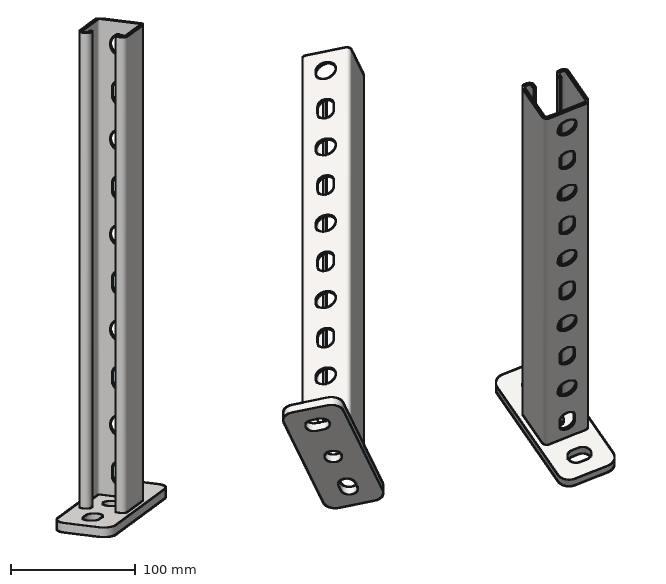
import cadquery as cq

TOTAL_HEIGHT = 408.0

PLATE_WIDTH = 50.0
PLATE_LENGTH = 125.0
PLATE_THICKNESS = 8.0
PLATE_CORNER_RADIUS = 10.0
PLATE_HOLE_DIAMETER = 14.0
PLATE_SLOT_LENGTH = 20.0
CROSS_SLOT_Y = 41.5
LONG_SLOT_Y = -39.0

CHANNEL_SIZE = 41.2
WALL = 2.0
BEND_RADIUS = 4.0
MOUTH_WIDTH = 21.2
LIP_DEPTH = 7.5
CHANNEL_HEIGHT = TOTAL_HEIGHT - PLATE_THICKNESS

PERFORATION_COUNT = 10
PERFORATION_PITCH = CHANNEL_HEIGHT / PERFORATION_COUNT
WEB_HOLE_DIAMETER = 17.0
WEB_SLOT_WIDTH = 14.0
WEB_SLOT_LENGTH = 20.0


def make_base_plate():
    """Rounded plate with a central hole, a crosswise slot and a lengthwise slot."""
    plate = (
        cq.Workplane("XY")
        .rect(PLATE_WIDTH, PLATE_LENGTH)
        .extrude(PLATE_THICKNESS)
        .edges("|Z")
        .fillet(PLATE_CORNER_RADIUS)
    )
    hole = cq.Workplane("XY").circle(PLATE_HOLE_DIAMETER / 2).extrude(PLATE_THICKNESS)
    cross_slot = (
        cq.Workplane("XY")
        .center(0, CROSS_SLOT_Y)
        .slot2D(PLATE_SLOT_LENGTH, PLATE_HOLE_DIAMETER)
        .extrude(PLATE_THICKNESS)
    )
    long_slot = (
        cq.Workplane("XY")
        .center(0, LONG_SLOT_Y)
        .slot2D(PLATE_SLOT_LENGTH, PLATE_HOLE_DIAMETER, 90)
        .extrude(PLATE_THICKNESS)
    )
    return plate.cut(hole).cut(cross_slot).cut(long_slot)


def upright_block(width, depth, center_x, center_y):
    """Full-height rectangular block standing on the plate."""
    return (
        cq.Workplane("XY", origin=(center_x, center_y, PLATE_THICKNESS))
        .rect(width, depth)
        .extrude(CHANNEL_HEIGHT)
    )


def bent_tube(width, center_x):
    """Square-cornered tube with constant wall and bends rounded inside and out."""
    inner_width = width - 2 * WALL
    inner_depth = CHANNEL_SIZE - 2 * WALL
    outer = upright_block(width, CHANNEL_SIZE, center_x, 0).edges("|Z").fillet(BEND_RADIUS)
    inner = upright_block(inner_width, inner_depth, center_x, 0).edges("|Z").fillet(BEND_RADIUS - WALL)
    return outer.cut(inner)


def make_lip(side):
    """Front flange with its inward return, on the side given by the sign of X."""
    flange_width = (CHANNEL_SIZE - MOUTH_WIDTH) / 2
    flange_x = side * (MOUTH_WIDTH + flange_width) / 2
    lip_y = (LIP_DEPTH - CHANNEL_SIZE) / 2
    return bent_tube(flange_width, flange_x).intersect(
        upright_block(flange_width, LIP_DEPTH, flange_x, lip_y)
    )


def make_perforations():
    """Cutters through the back web, starting with a slot at the bottom."""
    cutters = []
    for index in range(PERFORATION_COUNT):
        z = PLATE_THICKNESS + (index + 0.5) * PERFORATION_PITCH
        sketch = cq.Workplane("XZ", origin=(0, CHANNEL_SIZE / 2, z))
        if index % 2 == 0:
            outline = sketch.slot2D(WEB_SLOT_LENGTH, WEB_SLOT_WIDTH, 90)
        else:
            outline = sketch.circle(WEB_HOLE_DIAMETER / 2)
        cutters.append(outline.extrude(WALL))
    return cutters


def make_channel():
    """Lipped channel with a perforated back web."""
    front_opening = upright_block(
        CHANNEL_SIZE - 2 * BEND_RADIUS, BEND_RADIUS, 0, (BEND_RADIUS - CHANNEL_SIZE) / 2
    )
    channel = bent_tube(CHANNEL_SIZE, 0).cut(front_opening)
    for side in (-1, 1):
        channel = channel.union(make_lip(side))
    for cutter in make_perforations():
        channel = channel.cut(cutter)
    return channel


base_plate = make_base_plate()
channel = make_channel()
result = cq.Compound.makeCompound([base_plate.val(), channel.val()])